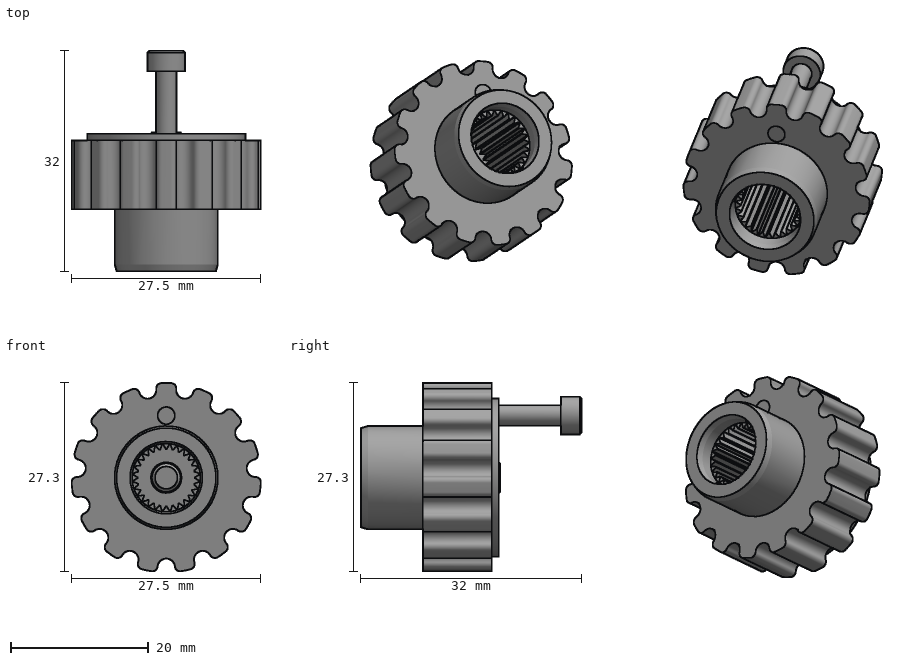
import cadquery as cq
import math


hub_length = 9.0
toothed_length = 10.0
flange_thickness = 1.0
pulley_length = hub_length + toothed_length
flange_rear = pulley_length + flange_thickness

tooth_count = 15
tooth_pitch = 360 / tooth_count
outer_radius = 13.75
gap_radius = 1.25
gap_centre_radius = 13.0
tooth_round_radius = 0.8

hub_radius = 7.5
bore_radius = 4.95
hub_taper_width = 0.3
hub_taper_depth = 1.0
spline_start = 3.0
spline_tooth_count = 28
spline_tip_radius = 4.15
spline_base_width = 1.06
spline_tip_width = 0.12
spline_root_overlap = 0.2

flange_radius = 11.5

screw_height = 9.0
screw_radius = 1.5
screw_tip_radius = 1.25
screw_exposed_length = 9.0
screw_head_radius = 2.75
screw_head_length = 3.0
screw_head_chamfer = 0.3

pin_radius = 2.225
pin_rear_projection = 0.2
pin_tip_radius = 2.075
pin_tip_length = 1.0
pin_tip_chamfer = 0.45


def section(y):
    """Workplane across the axis at Y = y, with local x = X, local y = Z and its normal towards -Y."""
    return cq.Workplane("XZ", origin=(0, y, 0))


def cylinder(radius, start, end, height=0.0):
    """Cylinder along Y from start to end, with its axis at Z = height."""
    return section(start).center(0, height).circle(radius).extrude(start - end)


def polar(radius, angle):
    """Point at a radius and an angle in degrees measured from +Z towards +X."""
    a = math.radians(angle)
    return (radius * math.sin(a), radius * math.cos(a))


def towards(start, end, distance):
    """Point at a distance from start on the line to end."""
    fraction = distance / math.dist(start, end)
    return (
        start[0] + fraction * (end[0] - start[0]),
        start[1] + fraction * (end[1] - start[1]),
    )


def toothed_rim():
    """Belt tooth ring: round gaps blended by tangent arcs into lands on the outer circle."""
    round_centre_radius = outer_radius - tooth_round_radius
    centre_distance = gap_radius + tooth_round_radius
    cosine = (gap_centre_radius**2 + round_centre_radius**2 - centre_distance**2) / (
        2 * gap_centre_radius * round_centre_radius
    )
    round_offset = math.degrees(math.acos(cosine))
    land_half_angle = tooth_pitch / 2 - round_offset

    def round_arc(gap_angle, side):
        """Gap end, middle and land end of the tooth round on one side of a gap."""
        round_angle = gap_angle + side * round_offset
        centre = polar(round_centre_radius, round_angle)
        gap_end = towards(centre, polar(gap_centre_radius, gap_angle), tooth_round_radius)
        land_end = polar(outer_radius, round_angle)
        chord_middle = ((gap_end[0] + land_end[0]) / 2, (gap_end[1] + land_end[1]) / 2)
        return gap_end, towards(centre, chord_middle, tooth_round_radius), land_end

    outline = section(hub_length).moveTo(*polar(outer_radius, -land_half_angle))
    for i in range(tooth_count):
        tooth_angle = i * tooth_pitch
        gap_angle = tooth_angle + tooth_pitch / 2
        gap_bottom = polar(gap_centre_radius - gap_radius, gap_angle)
        first_gap_end, first_middle, first_land_end = round_arc(gap_angle, -1)
        second_gap_end, second_middle, second_land_end = round_arc(gap_angle, 1)
        outline = (
            outline.threePointArc(polar(outer_radius, tooth_angle), first_land_end)
            .threePointArc(first_middle, first_gap_end)
            .threePointArc(gap_bottom, second_gap_end)
            .threePointArc(second_middle, second_land_end)
        )
    return outline.close().extrude(-toothed_length)


def hub():
    """Hub cylinder with a steep taper at its front edge."""
    return cylinder(hub_radius, 0, hub_length).faces("<Y").chamfer(hub_taper_depth, hub_taper_width)


def bore():
    """Bore through the pulley, tapered open at the front."""
    mouth_profile = [
        (0, 0),
        (bore_radius + hub_taper_width, 0),
        (bore_radius, hub_taper_depth),
        (0, hub_taper_depth),
    ]
    mouth = cq.Workplane("XY").polyline(mouth_profile).close().revolve(360, (0, 0), (0, 1))
    return cylinder(bore_radius, 0, pulley_length).union(mouth)


def spline_teeth():
    """Internal spline teeth, each a tapered ridge rooted in the bore wall."""
    half_base = spline_base_width / 2
    half_tip = spline_tip_width / 2
    root_radius = bore_radius + spline_root_overlap
    base_radius = math.sqrt(bore_radius**2 - half_base**2)
    tooth_profile = [
        (-half_tip, spline_tip_radius),
        (-half_base, base_radius),
        (-half_base, root_radius),
        (half_base, root_radius),
        (half_base, base_radius),
        (half_tip, spline_tip_radius),
    ]
    tooth = section(spline_start).polyline(tooth_profile).close().extrude(spline_start - pulley_length)
    return [
        tooth.rotate((0, 0, 0), (0, 1, 0), i * 360 / spline_tooth_count)
        for i in range(spline_tooth_count)
    ]


def make_pulley():
    """Toothed pulley with a splined hub and an off-axis hole for the screw tip."""
    body = toothed_rim().union(hub()).cut(bore())
    for tooth in spline_teeth():
        body = body.union(tooth)
    return body.cut(cylinder(screw_tip_radius, hub_length, pulley_length, screw_height))


def make_flange():
    """Disc closing the rear of the pulley, with holes for the pin and the screw."""
    disc = cylinder(flange_radius, pulley_length, flange_rear)
    pin_hole = cylinder(pin_radius, pulley_length, flange_rear)
    screw_hole = cylinder(screw_radius, pulley_length, flange_rear, screw_height)
    return disc.cut(pin_hole).cut(screw_hole)


def make_pin():
    """Centre pin: chamfered rear end, and a narrower chamfered tip inside the bore."""
    body = cylinder(pin_radius, pulley_length, flange_rear + pin_rear_projection)
    body = body.faces(">Y").chamfer(pin_rear_projection)
    tip = cylinder(pin_tip_radius, pulley_length - pin_tip_length, pulley_length)
    return body.union(tip.faces("<Y").chamfer(pin_tip_chamfer))


def make_screw():
    """Cap screw with a narrower tip that ends flush with the front of the toothed rim."""
    head_start = flange_rear + screw_exposed_length
    tip = cylinder(screw_tip_radius, hub_length, pulley_length, screw_height)
    shank = cylinder(screw_radius, pulley_length, head_start, screw_height)
    head = cylinder(screw_head_radius, head_start, head_start + screw_head_length, screw_height)
    return tip.union(shank).union(head.faces(">Y").chamfer(screw_head_chamfer))


pulley = make_pulley()
flange = make_flange()
pin = make_pin()
screw = make_screw()

result = cq.Compound.makeCompound([body.solids().val() for body in (pulley, flange, pin, screw)])